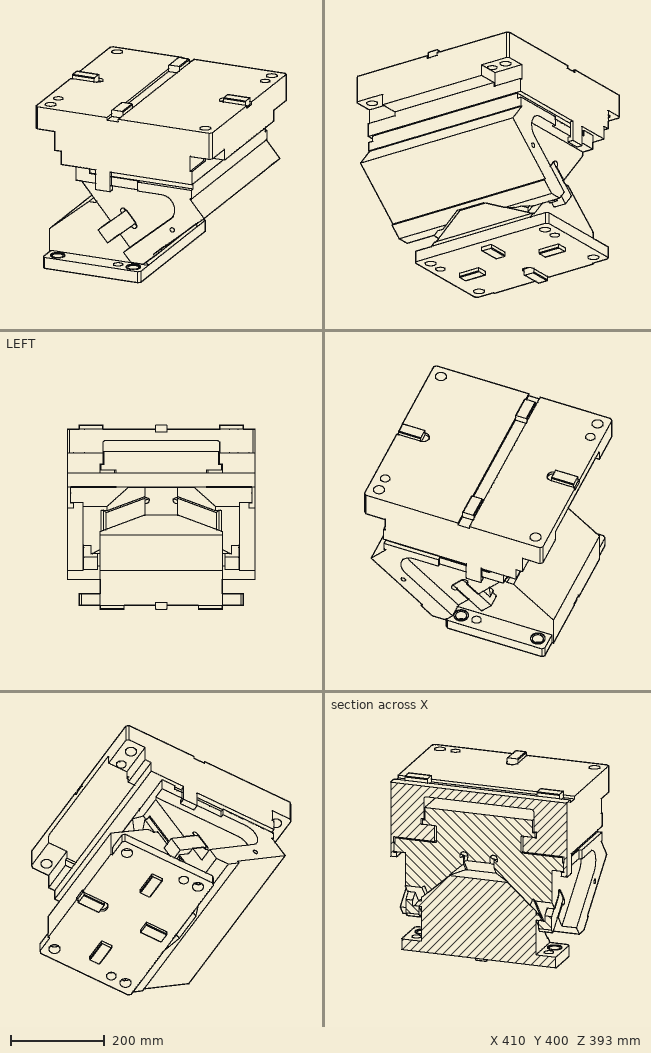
import cadquery as cq
import math


SIDES = (-1, 1)

GUIDE_ANGLE = math.radians(50)
ROOF_SLOPE = math.tan(math.radians(30))

RIDGE_HALF = 34.5
RIDGE_V = 247.0
ROOF_START_U = -44.3
ROOF_END_U = 111.5

HOLDER_LENGTH = 410
HALF_WIDTH = 200.0
HOLDER_TOP = 375.0
HOLDER_BOTTOM = 252.0
PLATE_BOTTOM = 324.7
CORNER_CHAMFER = 5.0
FLANGE_TOP = 282.0
FLANGE_START = 60.3
FLANGE_END = 365
BLOCK_START = 45
END_BLOCK_BOTTOM = 291
END_BLOCK_HALF = 130.0
CORNER_CUT_START = 361
CORNER_CUT_TOP = 315.5

POCKET_TOP = 350.5
POCKET_HALF = 124.2
POCKET_END = 320
POCKET_CORNER = 21.5
POCKET_CEILING_FILLET = 5.0
SLOT_HALF = 130.0
SLOT_STEP = 301.0
NECK_SLOT_HALF = 100.0
RAIL_TOP = 288.0

HOOK_START = 140.5
HOOK_END = 174.2
HOOK_INNER = 193.0
HOOK_FOOT_INNER = 186.5
HOOK_FOOT_TOP = 217.7
HOOK_BOTTOM = 207.5

HOLE_INSET = 25.0
HOLE_Y = 175.0
HOLE_D = 23.5
DOWEL_D = 20.0
LEFT_DOWEL_Y = -135.0
RIGHT_DOWEL_Y = 140.2

KEY_WIDTH = 25.5
KEY_LENGTH = 51.0
KEY_PROTRUSION = 9.0
KEY_SLOT_DEPTH = 6.0
KEY_CHAMFER = 1.5
KEY_INSET = 3.5
KEY_SLOT_LENGTH = 68.5
CROSS_KEY_WIDTH = 26.2
CROSS_KEY_X = 180.0
CROSS_KEY_OUTER = 175.0

SLIDE_START = 91.5
SLIDE_END = 363.3
SLIDE_TOP = 251.0
SLIDE_BOTTOM = 54.5
BAND_BOTTOM = 219.0
BAND_STEP_X = 238.2
LEDGE_Z = 239.0
LEDGE_START = 123.5
LEDGE_HALF = 190.2
CHEEK_V = 205.5
NOSE_V = 416.5
TOOL_FACE_U = 115.2
TOOL_STEP_U = 120.0
TOOL_STEP_V = 262.5
SIDE_RECESS_HALF = 167.0
SIDE_RECESS_U = 75.0
SIDE_RECESS_RADIUS = 30.5
PIN_HOLE_X = 319.0
PIN_HOLE_Z = 142.5
PIN_HOLE_D = 10.0
PIN_HOLE_DEPTH = 33

HEAD_END = 287
HEAD_TOP = 327.0
NECK_HALF = 96.8
HEAD_STEP = 299.5
HEAD_HALF = 122.0
HEAD_SHOULDER_HALF = 128.0

GROOVE_V = 252.0
WEAR_START_U = -90.5
WEAR_END_U = 110.5
GROOVE_START_U = -164
GROOVE_END_U = 164
WEAR_EDGE_Y = 117.3
WEAR_BACK_Y = 123.5
WEAR_BACK_V = 208.5
RELIEF_OUTER_Y = 128.7
CORNER_RELIEF_RADIUS = 8.0
CORNER_RELIEF_U = -79.5
CORNER_RELIEF_Y = 33.5
CORNER_RELIEF_DEPTH = 12.5

CLAW_U0 = 5.7
CLAW_U1 = 40.0
CLAW_TOP_V = 252.5
CLAW_BOTTOM_V = 166.0
CLAW_FOOT_V = 178.0
CLAW_OUTER = 165.2
CLAW_LEG_INNER = 149.5
CLAW_FOOT_INNER = 135.5
CLAW_RELIEF_RADIUS = 6.0
CLAW_RELIEF_OVERHANG = 2.5
CLAW_RELIEF_V = 245.5

BASE_START = 2.0
BASE_END = 232.5
BASE_HALF = 130.0
BASE_WALL_TOP = 74
BASE_FLAT_START = 94.0
BASE_FLAT_Z = 149.2
TOE_V = 194.5
FOOT_START = 5.7
FOOT_HALF = 175.0
FOOT_HEIGHT = 25.0
FOOT_HOLE_Y = 150.0
FOOT_HOLE_X = (30.0, 206.2)
FOOT_DOWEL_X = 171.0
COUNTERBORE_D = 30.8
COUNTERBORE_DEPTH = 1.5
LIP_OUTER = 146.8
BASE_KEY_X = 5.7
BASE_FAR_KEY_X = 160.7
BASE_CROSS_KEY_X = 117.3


def from_incline(u, v):
    """The (x, z) point at the inclined coordinates (u, v)."""
    x = u * math.cos(GUIDE_ANGLE) + v * math.sin(GUIDE_ANGLE)
    z = v * math.cos(GUIDE_ANGLE) - u * math.sin(GUIDE_ANGLE)
    return x, z


def z_at_v(x, v):
    """Height where the plane of constant v crosses the plane of constant x."""
    return (v - x * math.sin(GUIDE_ANGLE)) / math.cos(GUIDE_ANGLE)


def x_at_v(z, v):
    """X where the plane of constant v crosses the height z."""
    return (v - z * math.cos(GUIDE_ANGLE)) / math.sin(GUIDE_ANGLE)


def x_at_u(z, u):
    """X where the plane of constant u crosses the height z."""
    return (u + z * math.sin(GUIDE_ANGLE)) / math.cos(GUIDE_ANGLE)


def roof_v(y, ridge_v):
    """Height v of a roof flank at the distance y from the plane of symmetry."""
    return ridge_v - ROOF_SLOPE * (y - RIDGE_HALF)


def box(x0, x1, y0, y1, z0, z1):
    size = (x1 - x0, y1 - y0, z1 - z0)
    return cq.Workplane("XY").box(*size, centered=False).translate((x0, y0, z0))


def side_boxes(x0, x1, y0, y1, z0, z1):
    """A box at the distances y0 to y1 on each side of the plane of symmetry."""
    return box(x0, x1, y0, y1, z0, z1).union(box(x0, x1, -y1, -y0, z0, z1))


def prism_across(points, half_width):
    """An X-Z outline extruded symmetrically across Y."""
    return cq.Workplane("XZ").polyline(points).close().extrude(half_width, both=True)


def side_prisms(wires, inner, outer):
    """Closed X-Z wires extruded from the distance inner to outer on each side."""
    near = wires.extrude(outer - inner).translate((0, -inner, 0))
    return near.union(near.mirror("XZ"))


def guide_plane(u):
    """Section plane across the guide at u: its axes are Y and v."""
    x, z = from_incline(u, 0)
    normal = (math.cos(GUIDE_ANGLE), 0, -math.sin(GUIDE_ANGLE))
    return cq.Workplane(cq.Plane(origin=(x, 0, z), xDir=(0, 1, 0), normal=normal))


def guide_prism(points, u0, u1):
    """A (y, v) outline extruded along the guide from u0 to u1."""
    return guide_plane(u0).polyline(points).close().extrude(u1 - u0)


def guide_prisms(points, u0, u1):
    """A (y, v) outline and its mirror image, extruded along the guide."""
    prism = guide_prism(points, u0, u1)
    return prism.union(prism.mirror("XZ"))


def holes(diameter, positions, bottom, top):
    """Vertical cylinders at the given (x, y) positions."""
    circles = cq.Workplane("XY").workplane(offset=bottom).pushPoints(positions).circle(diameter / 2)
    return circles.extrude(top - bottom)


def key(x0, x1, y0, y1, face, direction, chamfered):
    """A key sunk into a horizontal face; direction is +1 on an upward face, -1 on a downward one."""
    ends = sorted((face - direction * KEY_SLOT_DEPTH, face + direction * KEY_PROTRUSION))
    outer_long_edges = (">Z" if direction > 0 else "<Z") + " and " + chamfered
    return box(x0, x1, y0, y1, *ends).edges(outer_long_edges).chamfer(KEY_CHAMFER)


def lengthwise_key(x0, face, direction):
    return key(x0, x0 + KEY_LENGTH, -KEY_WIDTH / 2, KEY_WIDTH / 2, face, direction, "|X")


def cross_keys(x_middle, outer, width, face, direction):
    """A pair of keys across the part, reaching out to the distance outer."""
    x0 = x_middle - width / 2
    x1 = x_middle + width / 2
    left, right = (
        key(x0, x1, *sorted((side * (outer - KEY_LENGTH), side * outer)), face, direction, "|Y")
        for side in SIDES
    )
    return left.union(right)


def key_slot(x_open, x_end, z0, z1):
    """A key slot that is open at x_open and rounded at x_end."""
    radius = KEY_WIDTH / 2
    x_centre = x_end - math.copysign(radius, x_end - x_open)
    straight = box(*sorted((x_open, x_centre)), -radius, radius, z0, z1)
    return straight.union(holes(KEY_WIDTH, [(x_centre, 0)], z0, z1))


def base_core():
    outline = [
        (BASE_START, 0),
        (BASE_START, BASE_WALL_TOP),
        (BASE_FLAT_START, BASE_FLAT_Z),
        (x_at_u(BASE_FLAT_Z, ROOF_START_U), BASE_FLAT_Z),
        from_incline(ROOF_START_U, RIDGE_V),
        from_incline(ROOF_END_U, RIDGE_V),
        from_incline(ROOF_END_U, TOE_V),
        (BASE_END, z_at_v(BASE_END, TOE_V)),
        (BASE_END, 0),
    ]
    above_flank = [
        (RIDGE_HALF, RIDGE_V),
        (BASE_HALF, roof_v(BASE_HALF, RIDGE_V)),
        (BASE_HALF, RIDGE_V),
    ]
    return prism_across(outline, BASE_HALF).cut(guide_prisms(above_flank, ROOF_START_U, ROOF_END_U))


def base_foot():
    foot = box(FOOT_START, BASE_END, -FOOT_HALF, FOOT_HALF, 0, FOOT_HEIGHT)
    return foot.edges("|Z").chamfer(CORNER_CHAMFER)


def base_foot_holes():
    screws = [(x, side * FOOT_HOLE_Y) for x in FOOT_HOLE_X for side in SIDES]
    dowels = [(FOOT_DOWEL_X, side * FOOT_HOLE_Y) for side in SIDES]
    counterbores = holes(COUNTERBORE_D, screws, FOOT_HEIGHT - COUNTERBORE_DEPTH, FOOT_HEIGHT)
    screw_holes = holes(HOLE_D, screws, 0, FOOT_HEIGHT)
    return screw_holes.union(counterbores).union(holes(DOWEL_D, dowels, 0, FOOT_HEIGHT))


def base_lips():
    """Wedges on the sides of the base that the slide's claws grip."""
    lip = [
        (BASE_HALF, roof_v(BASE_HALF, RIDGE_V)),
        (BASE_HALF, CLAW_FOOT_V),
        (LIP_OUTER, CLAW_FOOT_V),
    ]
    return guide_prisms(lip, CLAW_U0, CLAW_U1)


def make_base():
    body = base_core().union(base_foot()).cut(base_foot_holes()).union(base_lips())
    body = body.cut(key_slot(BASE_START, BASE_START + KEY_SLOT_LENGTH, 0, KEY_SLOT_DEPTH))
    for x0 in (BASE_KEY_X, BASE_FAR_KEY_X):
        body = body.union(lengthwise_key(x0, 0, -1))
    return body.union(cross_keys(BASE_CROSS_KEY_X, BASE_HALF, KEY_WIDTH, 0, -1))


def slide_block():
    outline = [
        (SLIDE_START, SLIDE_TOP),
        (SLIDE_END, SLIDE_TOP),
        (SLIDE_END, BAND_BOTTOM),
        (x_at_v(BAND_BOTTOM, NOSE_V), BAND_BOTTOM),
        from_incline(TOOL_FACE_U, NOSE_V),
        from_incline(TOOL_FACE_U, TOOL_STEP_V),
        from_incline(TOOL_STEP_U, TOOL_STEP_V),
        (x_at_u(SLIDE_BOTTOM, TOOL_STEP_U), SLIDE_BOTTOM),
        (x_at_v(SLIDE_BOTTOM, CHEEK_V), SLIDE_BOTTOM),
        (SLIDE_START, z_at_v(SLIDE_START, CHEEK_V)),
    ]
    return prism_across(outline, HALF_WIDTH)


def slide_side_recesses():
    """Recesses in both cheeks, open toward the guide and rounded at their far corner."""
    radius = SIDE_RECESS_RADIUS
    centre_z = BAND_BOTTOM - radius
    centre_x = x_at_u(centre_z, SIDE_RECESS_U - radius)
    tangent = (
        centre_x + radius * math.cos(GUIDE_ANGLE),
        centre_z - radius * math.sin(GUIDE_ANGLE),
    )
    outline = (
        cq.Workplane("XZ")
        .moveTo(SLIDE_START, BAND_BOTTOM)
        .lineTo(centre_x, BAND_BOTTOM)
        .threePointArc((centre_x + radius, centre_z), tangent)
        .lineTo(*from_incline(SIDE_RECESS_U, CHEEK_V))
        .lineTo(SLIDE_START, z_at_v(SLIDE_START, CHEEK_V))
        .close()
    )
    return side_prisms(outline, SIDE_RECESS_HALF, HALF_WIDTH)


def slide_band_cuts():
    """Clearance for the holder's hooks, and the ledge along the upper edge."""
    hook_path = side_boxes(SLIDE_START, BAND_STEP_X, HOOK_INNER, HALF_WIDTH, BAND_BOTTOM, SLIDE_TOP)
    ledge = side_boxes(LEDGE_START, SLIDE_END, LEDGE_HALF, HALF_WIDTH, LEDGE_Z, SLIDE_TOP)
    return hook_path.union(ledge)


def slide_groove():
    """The roof-shaped groove, with room for the wear plates."""
    foot_y = RIDGE_HALF + (GROOVE_V - CHEEK_V) / ROOF_SLOPE
    groove = [
        (-RIDGE_HALF, GROOVE_V),
        (RIDGE_HALF, GROOVE_V),
        (foot_y, CHEEK_V),
        (-foot_y, CHEEK_V),
    ]
    edge_relief = [
        (WEAR_EDGE_Y, CHEEK_V),
        (WEAR_BACK_Y, WEAR_BACK_V),
        (RELIEF_OUTER_Y, CHEEK_V),
    ]
    groove_cut = guide_prism(groove, GROOVE_START_U, GROOVE_END_U)
    return groove_cut.union(guide_prisms(edge_relief, WEAR_START_U, GROOVE_END_U))


def slide_corner_reliefs():
    """Short round reliefs in the groove's flat, at the upper inner corners of the wear plates."""
    corners = [(side * CORNER_RELIEF_Y, 0) for side in SIDES]
    x, z = from_incline(CORNER_RELIEF_U, RIDGE_V)
    normal = (math.sin(GUIDE_ANGLE), 0, math.cos(GUIDE_ANGLE))
    across = cq.Workplane(cq.Plane(origin=(x, 0, z), xDir=(0, 1, 0), normal=normal))
    depth = GROOVE_V - RIDGE_V + CORNER_RELIEF_DEPTH
    return across.pushPoints(corners).circle(CORNER_RELIEF_RADIUS).extrude(depth)


def slide_wear_plates():
    plate = [
        (RIDGE_HALF, RIDGE_V),
        (WEAR_EDGE_Y, roof_v(WEAR_EDGE_Y, RIDGE_V)),
        (WEAR_BACK_Y, WEAR_BACK_V),
        (RIDGE_HALF, roof_v(RIDGE_HALF, WEAR_BACK_V + ROOF_SLOPE * (WEAR_BACK_Y - RIDGE_HALF))),
    ]
    return guide_prisms(plate, WEAR_START_U, WEAR_END_U)


def slide_claws():
    """L-shaped claws that reach below the lips of the base."""
    claw = [
        (CLAW_OUTER, CLAW_TOP_V),
        (CLAW_OUTER, CLAW_BOTTOM_V),
        (CLAW_FOOT_INNER, CLAW_BOTTOM_V),
        (CLAW_FOOT_INNER, CLAW_FOOT_V),
        (CLAW_LEG_INNER, CLAW_FOOT_V),
        (CLAW_LEG_INNER, CLAW_TOP_V),
    ]
    return guide_prisms(claw, CLAW_U0, CLAW_U1)


def slide_claw_seats():
    """Seats in the cheeks for the claws, with round reliefs at their upper corners."""
    corners = [
        from_incline(CLAW_U0, CHEEK_V),
        from_incline(CLAW_U0, CLAW_TOP_V),
        from_incline(CLAW_U1, CLAW_TOP_V),
        from_incline(CLAW_U1, CHEEK_V),
    ]
    relief_points = [
        from_incline(CLAW_U0 - CLAW_RELIEF_OVERHANG, CLAW_RELIEF_V),
        from_incline(CLAW_U1 + CLAW_RELIEF_OVERHANG, CLAW_RELIEF_V),
    ]
    seat = cq.Workplane("XZ").polyline(corners).close()
    reliefs = cq.Workplane("XZ").pushPoints(relief_points).circle(CLAW_RELIEF_RADIUS)
    seats = side_prisms(seat, CLAW_LEG_INNER, SIDE_RECESS_HALF)
    return seats.union(side_prisms(reliefs, CLAW_LEG_INNER, SIDE_RECESS_HALF))


def slide_pin_holes():
    pin = cq.Workplane("XZ").center(PIN_HOLE_X, PIN_HOLE_Z).circle(PIN_HOLE_D / 2)
    return side_prisms(pin, HALF_WIDTH - PIN_HOLE_DEPTH, HALF_WIDTH)


def slide_head():
    """T-shaped head: a neck through the holder's flange, widening in the slot above it."""
    neck = box(SLIDE_START, HEAD_END, -NECK_HALF, NECK_HALF, SLIDE_TOP, RAIL_TOP)
    shoulder = box(SLIDE_START, HEAD_END, -HEAD_SHOULDER_HALF, HEAD_SHOULDER_HALF, RAIL_TOP, HEAD_STEP)
    top = box(SLIDE_START, HEAD_END, -HEAD_HALF, HEAD_HALF, HEAD_STEP, HEAD_TOP)
    return neck.union(shoulder).union(top)


def make_slide():
    body = slide_block().cut(slide_side_recesses()).cut(slide_band_cuts()).cut(slide_groove())
    body = body.cut(slide_corner_reliefs()).cut(slide_claw_seats()).cut(slide_pin_holes())
    return body.union(slide_wear_plates()).union(slide_claws()).union(slide_head())


def holder_block():
    """Stepped block with chamfered corners and the two corners below its right end cut away."""
    outline = [
        (0, HOLDER_TOP),
        (0, PLATE_BOTTOM),
        (BLOCK_START, PLATE_BOTTOM),
        (BLOCK_START, FLANGE_TOP),
        (FLANGE_START, FLANGE_TOP),
        (FLANGE_START, HOLDER_BOTTOM),
        (FLANGE_END, HOLDER_BOTTOM),
        (FLANGE_END, END_BLOCK_BOTTOM),
        (HOLDER_LENGTH, END_BLOCK_BOTTOM),
        (HOLDER_LENGTH, HOLDER_TOP),
    ]
    plan = box(0, HOLDER_LENGTH, -HALF_WIDTH, HALF_WIDTH, HOLDER_BOTTOM, HOLDER_TOP)
    plan = plan.edges("|Z").chamfer(CORNER_CHAMFER)
    corner_cuts = side_boxes(
        CORNER_CUT_START, HOLDER_LENGTH, END_BLOCK_HALF, HALF_WIDTH, FLANGE_TOP, CORNER_CUT_TOP
    )
    return prism_across(outline, HALF_WIDTH).intersect(plan).cut(corner_cuts)


def holder_slot():
    """Pocket, T-slot and neck slot that take the slide's head, closed at the far end."""
    pocket = box(0, POCKET_END, -POCKET_HALF, POCKET_HALF, FLANGE_TOP, POCKET_TOP)
    pocket = pocket.edges("|Z and >X").fillet(POCKET_CORNER)
    pocket = pocket.faces(">X").edges(">Z").fillet(POCKET_CEILING_FILLET)
    shoulder_slot = box(0, POCKET_END, -SLOT_HALF, SLOT_HALF, FLANGE_TOP, SLOT_STEP)
    neck_slot = box(SLIDE_START, POCKET_END, -NECK_SLOT_HALF, NECK_SLOT_HALF, HOLDER_BOTTOM, FLANGE_TOP)
    return pocket.union(shoulder_slot).union(neck_slot)


def holder_rails():
    """Wear rails on the slot floor, under the shoulders of the slide's head."""
    return side_boxes(SLIDE_START, POCKET_END, NECK_SLOT_HALF, SLOT_HALF, FLANGE_TOP, RAIL_TOP)


def holder_hooks():
    """L-shaped hooks that reach below the slide's side bands."""
    legs = side_boxes(HOOK_START, HOOK_END, HOOK_INNER, HALF_WIDTH, HOOK_BOTTOM, HOLDER_BOTTOM)
    feet = side_boxes(HOOK_START, HOOK_END, HOOK_FOOT_INNER, HALF_WIDTH, HOOK_BOTTOM, HOOK_FOOT_TOP)
    return legs.union(feet)


def holder_holes():
    right_x = HOLDER_LENGTH - HOLE_INSET
    screws = [(x, side * HOLE_Y) for x in (HOLE_INSET, right_x) for side in SIDES]
    dowels = [(HOLE_INSET, LEFT_DOWEL_Y), (right_x, RIGHT_DOWEL_Y)]
    screw_holes = holes(HOLE_D, screws, END_BLOCK_BOTTOM, HOLDER_TOP)
    return screw_holes.union(holes(DOWEL_D, dowels, END_BLOCK_BOTTOM, HOLDER_TOP))


def holder_key_slots():
    floor = HOLDER_TOP - KEY_SLOT_DEPTH
    left = key_slot(0, KEY_SLOT_LENGTH, floor, HOLDER_TOP)
    right = key_slot(HOLDER_LENGTH, HOLDER_LENGTH - KEY_SLOT_LENGTH, floor, HOLDER_TOP)
    half = CROSS_KEY_WIDTH / 2
    across = box(CROSS_KEY_X - half, CROSS_KEY_X + half, -HALF_WIDTH, HALF_WIDTH, floor, HOLDER_TOP)
    return left.union(right).union(across)


def make_holder():
    body = holder_block().cut(holder_slot()).cut(holder_holes()).cut(holder_key_slots())
    body = body.union(holder_rails()).union(holder_hooks())
    for x0 in (KEY_INSET, HOLDER_LENGTH - KEY_INSET - KEY_LENGTH):
        body = body.union(lengthwise_key(x0, HOLDER_TOP, 1))
    return body.union(cross_keys(CROSS_KEY_X, CROSS_KEY_OUTER, CROSS_KEY_WIDTH, HOLDER_TOP, 1))


base = make_base()
slide = make_slide()
holder = make_holder()

result = cq.Compound.makeCompound([body.solids().val() for body in (base, slide, holder)])